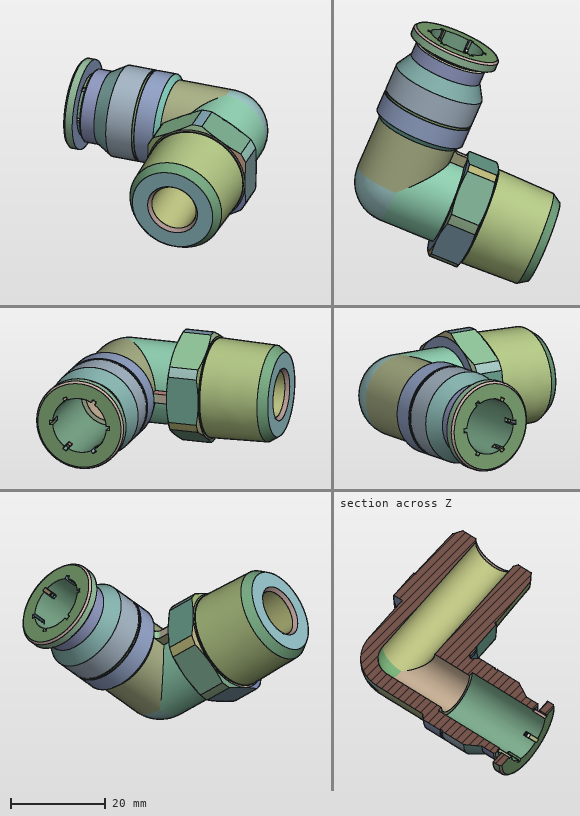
import cadquery as cq
import math


elbow_radius = 8.8
bore_radius = 10.0 / 2

hex_across_flats = 22.0
hex_corner_diameter = 24.2
hex_half_width = hex_across_flats / 2
hex_length = 7.1
hex_chamfer = 0.4

sleeve_radius = 19.8 / 2
sleeve_end_x = -12.0
sleeve_chamfer = sleeve_radius - elbow_radius
cone_base_x = -23.7
cone_tip_x = -27.1
nose_radius = 15.85 / 2
nose_end_x = -30.4
nose_chamfer = 0.3
groove_x = -17.65
groove_width = 0.55
groove_depth = 0.2

overall_x = 44.4
collar_end_x = hex_half_width - overall_x
collar_radius = 19.5 / 2
collar_thickness = 2.1
collar_chamfer = 0.45
collar_neck_radius = 6.7
tube_radius = 12.0 / 2
tube_stop_x = -14.2
slot_count = 6
slot_width = 0.9
slot_length = 3.1

overall_y = 43.9
thread_end_y = sleeve_radius - overall_y
hex_top_y = -11.95
hex_bottom_y = hex_top_y - hex_length
thread_neck_radius = 21.1 / 2
thread_neck_length = 0.2
thread_start_radius = 21.4 / 2
thread_end_radius = 20.7 / 2
thread_tip_radius = 18.1 / 2
thread_tip_length = 2.0
mouth_radius = 11.25 / 2
mouth_depth = 0.9

rib_thickness = 2.0


def revolve_about_x(points):
    """Solid of revolution from (x, radius) points."""
    return cq.Workplane("XY").polyline(points).close().revolve(360, (0, 0), (1, 0))


def revolve_about_y(points):
    """Solid of revolution from (radius, y) points."""
    return cq.Workplane("XY").polyline(points).close().revolve(360, (0, 0), (0, 1))


def rod_elbow(radius, x_end, y_end):
    """Two round rods along -X and -Y joined by a ball at the origin."""
    along_x = cq.Workplane("YZ").circle(radius).extrude(x_end)
    along_y = cq.Workplane("XZ").circle(radius).extrude(-y_end)
    return cq.Workplane("XY").sphere(radius).union(along_x).union(along_y)


def make_sleeve():
    collar_inner_x = collar_end_x + collar_thickness
    groove_left_x = groove_x - groove_width / 2
    groove_right_x = groove_x + groove_width / 2
    return revolve_about_x([
        (collar_end_x, 0),
        (collar_end_x, collar_radius - collar_chamfer),
        (collar_end_x + collar_chamfer, collar_radius),
        (collar_inner_x, collar_radius),
        (collar_inner_x, collar_neck_radius),
        (nose_end_x, collar_neck_radius),
        (nose_end_x, nose_radius - nose_chamfer),
        (nose_end_x + nose_chamfer, nose_radius),
        (cone_tip_x, nose_radius),
        (cone_base_x, sleeve_radius),
        (groove_left_x, sleeve_radius),
        (groove_left_x, sleeve_radius - groove_depth),
        (groove_right_x, sleeve_radius - groove_depth),
        (groove_right_x, sleeve_radius),
        (sleeve_end_x - sleeve_chamfer, sleeve_radius),
        (sleeve_end_x, elbow_radius),
        (sleeve_end_x, 0),
    ])


def make_hexagon():
    corner_radius = hex_corner_diameter / 2
    prism = (
        cq.Workplane("XZ", origin=(0, hex_top_y, 0))
        .transformed(rotate=(0, 0, 30))
        .polygon(6, hex_across_flats / math.cos(math.pi / 6))
        .extrude(hex_length)
    )
    turned_blank = revolve_about_y([
        (0, hex_top_y),
        (hex_half_width, hex_top_y),
        (corner_radius, hex_top_y - hex_chamfer),
        (corner_radius, hex_bottom_y + hex_chamfer),
        (hex_half_width, hex_bottom_y),
        (0, hex_bottom_y),
    ])
    return prism.intersect(turned_blank)


def make_thread():
    thread_start_y = hex_bottom_y - thread_neck_length
    return revolve_about_y([
        (0, hex_bottom_y),
        (thread_neck_radius, hex_bottom_y),
        (thread_neck_radius, thread_start_y),
        (thread_start_radius, thread_start_y),
        (thread_end_radius, thread_end_y + thread_tip_length),
        (thread_tip_radius, thread_end_y),
        (0, thread_end_y),
    ])


def make_rib():
    """Flat rib with a concave round running out at the sleeve end."""
    rib_edge_x = -hex_half_width
    round_radius = rib_edge_x - sleeve_end_x
    round_y = -elbow_radius - round_radius
    arc_offset = round_radius * math.sqrt(0.5)
    arc_middle = (sleeve_end_x + arc_offset, round_y + arc_offset)
    return (
        cq.Workplane("XY")
        .moveTo(0, hex_top_y)
        .lineTo(rib_edge_x, hex_top_y)
        .lineTo(rib_edge_x, round_y)
        .threePointArc(arc_middle, (sleeve_end_x, -elbow_radius))
        .lineTo(sleeve_end_x, 0)
        .lineTo(0, 0)
        .close()
        .extrude(rib_thickness / 2, both=True)
    )


def make_tube_socket():
    """Tube hole with slots spread around its open end."""
    socket = (
        cq.Workplane("YZ", origin=(collar_end_x, 0, 0))
        .circle(tube_radius)
        .extrude(tube_stop_x - collar_end_x)
    )
    slot_reach = (
        cq.Workplane("YZ", origin=(collar_end_x, 0, 0))
        .circle(collar_neck_radius)
        .extrude(slot_length)
    )
    for index in range(slot_count // 2):
        slot_pair = (
            cq.Workplane("XY")
            .box(slot_length, 2 * sleeve_radius, slot_width)
            .translate((collar_end_x + slot_length / 2, 0, 0))
            .rotate((0, 0, 0), (1, 0, 0), index * 360 / slot_count)
        )
        socket = socket.union(slot_pair.intersect(slot_reach))
    return socket


def make_mouth():
    """Countersink at the threaded end of the bore."""
    return revolve_about_y([
        (0, thread_end_y),
        (mouth_radius, thread_end_y),
        (bore_radius, thread_end_y + mouth_depth),
        (0, thread_end_y + mouth_depth),
    ])


body = rod_elbow(elbow_radius, sleeve_end_x, hex_top_y)
for feature in (make_sleeve(), make_hexagon(), make_thread(), make_rib()):
    body = body.union(feature)

passage = rod_elbow(bore_radius, collar_end_x, thread_end_y)
result = body.cut(passage).cut(make_tube_socket()).cut(make_mouth())